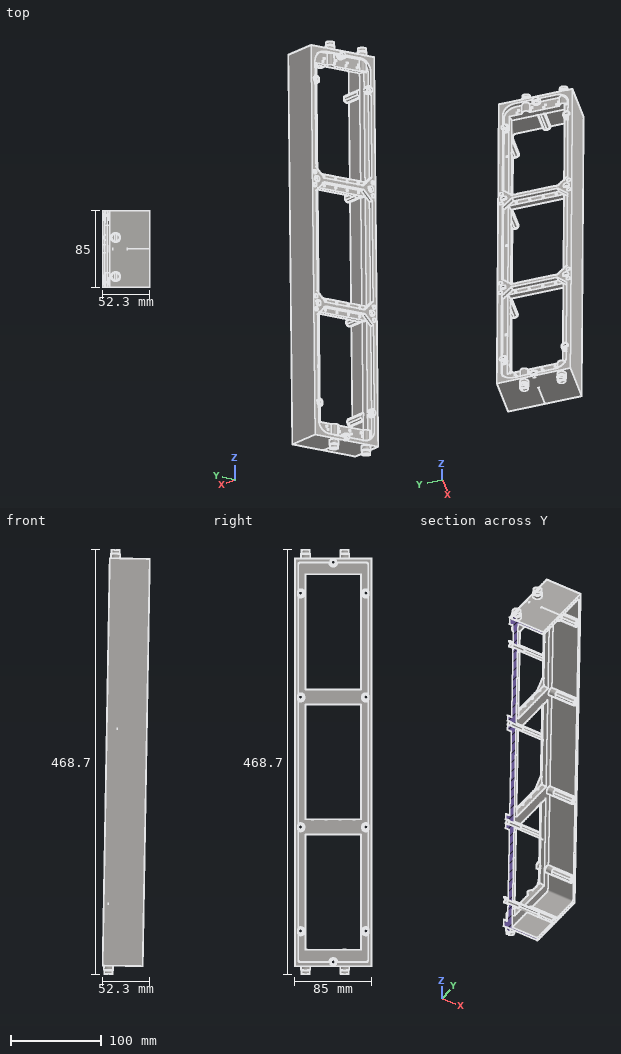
import cadquery as cq
TILT = 1.0

DEPTH = 44.5
WIDTH = 85.0
HEIGHT = 450.0
SIDE_WALL = 3.8
END_WALL = 4.0
CAVITY_FILLET = 3.0

PITCH = 143.5
RECESS_DEPTH = 5.0
RECESS_HALF_WIDTH = 37.5
RECESS_TOP = 221.0
RECESS_RADIUS = 14.0
RECESS_CHAMFER = 11.3
LIP_BACK = 11.5
WINDOW_HALF_WIDTH_FRONT = 32.0
WINDOW_HALF_WIDTH_BACK = 30.5
WINDOW_TOP = 207.0
CROSSBAR_HALF = 8.5
RIB_HALF = 2.5
WINDOW_CENTRES = [-PITCH, 0, PITCH]
CROSSBAR_HEIGHTS = [-PITCH / 2, PITCH / 2]

BOSS_RADIUS = 4.45
SCREW_RADIUS = 2.6
COUNTERBORE_RADIUS = 3.5
COUNTERBORE_DEPTH = 3.8
NUT_POCKET_RADIUS = 3.8
NUT_POCKET_START = 19.5
SIDE_SCREW_Y = 36.0
OUTER_SCREW_Z = 186.5
END_SCREW_Z = 221.0

SMALL_HOLE_RADIUS = 1.0
SMALL_HOLE_DEPTH = 2.5
LIP_SLOT_DEPTH = 1.5
LIP_HOLES_Y = [-23.0, -8.0, 7.5, 23.0]
LIP_HOLE_OFFSET = 3.5
END_HOLE_ROW_OFFSET = 7.0
END_HOLE_ROW_SHIFT = -2.0
SIDE_HOLE_Y = 33.8
DOWEL_RADIUS = 2.1
DOWEL_DEPTH = 3.8
DOWEL_Y = 39.0
DOWEL_OFFSET = 7.5

FITTING_X = 6.5
FITTINGS_Y = [12.5, -30.5]
FITTING_PLACES = [(y, end) for end in (1, -1) for y in FITTINGS_Y]
FITTING_BASE_RADIUS = 5.0
FITTING_BASE_HEIGHT = 4.5
NECK_RADIUS = 4.0
NECK_HEIGHT = 1.0
CAP_RADIUS = 4.5
CAP_HEIGHT = 3.8
CAP_SLOT_WIDTH = 2.0
CAP_SLOT_DEPTH = 0.5

LIP_RIB_RADIUS = 4.5


def front_plane(depth):
    """Workplane parallel to the front face whose local axes are Y and Z, facing the back."""
    return cq.Workplane("YZ", origin=(depth, 0, 0))


def block(depth_from, depth_to, half_width, z_from, z_to):
    return (
        front_plane(depth_from)
        .center(0, (z_from + z_to) / 2)
        .rect(2 * half_width, z_to - z_from)
        .extrude(depth_to - depth_from)
    )


def rods(points, radius, depth_from, depth_to):
    return front_plane(depth_from).pushPoints(points).circle(radius).extrude(depth_to - depth_from)


def window_spans(end, bar_half):
    """Lower and upper limits of the three openings between the crossbars."""
    lower = [-end] + [z + bar_half for z in CROSSBAR_HEIGHTS]
    upper = [z - bar_half for z in CROSSBAR_HEIGHTS] + [end]
    return list(zip(lower, upper))


def window(z_from, z_to):
    """Opening whose two sides close in slightly towards the back of the lip."""
    return (
        cq.Workplane("XY", origin=(0, 0, z_from))
        .polyline([
            (RECESS_DEPTH, -WINDOW_HALF_WIDTH_FRONT),
            (LIP_BACK, -WINDOW_HALF_WIDTH_BACK),
            (LIP_BACK, WINDOW_HALF_WIDTH_BACK),
            (RECESS_DEPTH, WINDOW_HALF_WIDTH_FRONT),
        ])
        .close()
        .extrude(z_to - z_from)
    )


def recess(z_from, z_to):
    """Shallow pocket with round corners at a frame end and cut corners at a crossbar."""
    pocket = block(0, RECESS_DEPTH, RECESS_HALF_WIDTH, z_from, z_to)
    for z, selector in ((z_from, "<Z"), (z_to, ">Z")):
        corners = pocket.faces(selector).edges("|X")
        if abs(z) == RECESS_TOP:
            pocket = corners.fillet(RECESS_RADIUS)
        else:
            pocket = corners.chamfer(RECESS_CHAMFER)
    return pocket


def screw_points():
    heights = [-OUTER_SCREW_Z, *CROSSBAR_HEIGHTS, OUTER_SCREW_Z]
    sides = [(side * SIDE_SCREW_Y, z) for side in (-1, 1) for z in heights]
    return sides + [(0, -END_SCREW_Z), (0, END_SCREW_Z)]


def nut_pockets():
    """Hexagonal pockets from the back of the bosses."""
    hexagons = cq.Sketch().push(screw_points()).regularPolygon(NUT_POCKET_RADIUS, 6)
    return front_plane(NUT_POCKET_START).placeSketch(hexagons).extrude(DEPTH - NUT_POCKET_START)


def lip_hole_points():
    points = []
    for z_from, z_to in window_spans(WINDOW_TOP, CROSSBAR_HALF):
        for y in LIP_HOLES_Y:
            points += [(y, z_from - LIP_HOLE_OFFSET), (y, z_to + LIP_HOLE_OFFSET)]
    end_row_z = WINDOW_TOP + END_HOLE_ROW_OFFSET
    for y in LIP_HOLES_Y:
        points += [(y + END_HOLE_ROW_SHIFT, -end_row_z), (y + END_HOLE_ROW_SHIFT, end_row_z)]
    points += [(SIDE_HOLE_Y, z) for z in WINDOW_CENTRES]
    return points


def dowel_points():
    return [
        (side * DOWEL_Y, z + offset)
        for side in (-1, 1)
        for z in CROSSBAR_HEIGHTS
        for offset in (-DOWEL_OFFSET, DOWEL_OFFSET)
    ]


def make_fitting(y, end):
    """Fitting standing on one end of the housing: end is 1 for the top, -1 for the bottom."""
    fitting = (
        cq.Workplane("XY", origin=(FITTING_X, y, HEIGHT / 2))
        .circle(FITTING_BASE_RADIUS)
        .extrude(FITTING_BASE_HEIGHT)
        .faces(">Z").workplane()
        .circle(NECK_RADIUS)
        .extrude(NECK_HEIGHT)
        .faces(">Z").workplane()
        .circle(CAP_RADIUS)
        .extrude(CAP_HEIGHT)
        .faces(">Z").workplane()
        .rect(CAP_SLOT_WIDTH, 2 * FITTING_BASE_RADIUS)
        .cutBlind(-CAP_SLOT_DEPTH)
    )
    if end < 0:
        fitting = fitting.mirror("XY")
    return fitting


def lip_rib(y, end):
    """Round rib across an end lip, from the window to just inside the end face."""
    return (
        cq.Workplane("XY", origin=(FITTING_X, y, end * WINDOW_TOP))
        .circle(LIP_RIB_RADIUS)
        .extrude(end * (HEIGHT / 2 - WINDOW_TOP - END_WALL))
    )


def lip_slots():
    """Short slots joining the holes above each crossbar rib to the window above."""
    points = [(y, z + CROSSBAR_HALF - LIP_HOLE_OFFSET / 2) for y in LIP_HOLES_Y for z in CROSSBAR_HEIGHTS]
    return (
        front_plane(RECESS_DEPTH)
        .pushPoints(points)
        .rect(2 * SMALL_HOLE_RADIUS, LIP_HOLE_OFFSET)
        .extrude(LIP_SLOT_DEPTH)
    )


def make_housing():
    half_height = HEIGHT / 2
    envelope = block(0, DEPTH, WIDTH / 2, -half_height, half_height)
    cavity_half_height = half_height - END_WALL
    cavity = block(LIP_BACK, DEPTH, WIDTH / 2 - SIDE_WALL, -cavity_half_height, cavity_half_height)
    body = envelope.cut(cavity.edges("|X").fillet(CAVITY_FILLET))
    for span in window_spans(RECESS_TOP, RIB_HALF):
        body = body.cut(recess(*span))
    for span in window_spans(WINDOW_TOP, CROSSBAR_HALF):
        body = body.cut(window(*span))
    for y, end in FITTING_PLACES:
        body = body.union(lip_rib(y, end))

    bosses = rods(screw_points(), BOSS_RADIUS, 0, DEPTH)
    body = body.union(bosses.intersect(envelope))
    body = body.cut(rods(screw_points(), SCREW_RADIUS, 0, DEPTH))
    body = body.cut(rods(screw_points(), COUNTERBORE_RADIUS, 0, COUNTERBORE_DEPTH))
    body = body.cut(nut_pockets())

    small_hole_end = RECESS_DEPTH + SMALL_HOLE_DEPTH
    body = body.cut(rods(lip_hole_points(), SMALL_HOLE_RADIUS, RECESS_DEPTH, small_hole_end))
    body = body.cut(lip_slots())
    return body.cut(rods(dowel_points(), DOWEL_RADIUS, 0, DOWEL_DEPTH))


def tilted(body):
    return body.rotate((0, 0, 0), (0, 1, 0), TILT)


housing = tilted(make_housing())
fittings = [tilted(make_fitting(y, end)) for y, end in FITTING_PLACES]

result = cq.Compound.makeCompound([housing.val(), *[fitting.val() for fitting in fittings]])